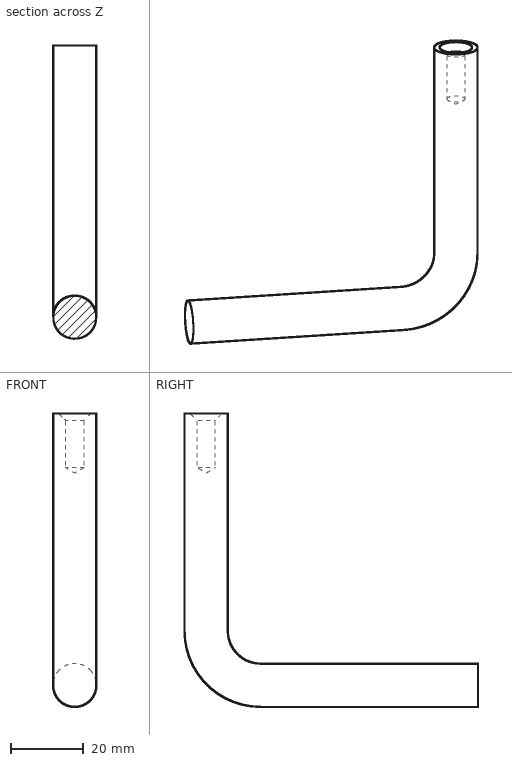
import cadquery as cq
import math

bar_diameter = 12.0
arm_length = 60.0
bend_radius = 15.0

hole_diameter = 5.0
hole_depth = 15.0
countersink_diameter = 9.0
countersink_angle = 90.0
drill_point_angle = 118.0

arm_end = bend_radius + arm_length


def cone_height(radius_change, included_angle):
    """Axial length over which a cone's radius changes by the given amount."""
    return radius_change / math.tan(math.radians(included_angle / 2))


def bent_bar():
    """Bar with one arm up +Z and one along +Y; the arm axes meet at the origin."""
    bend_mid = bend_radius * (1 - math.sqrt(0.5))
    path = (
        cq.Workplane("YZ")
        .moveTo(0, arm_end)
        .lineTo(0, bend_radius)
        .threePointArc((bend_mid, bend_mid), (bend_radius, 0))
        .lineTo(arm_end, 0)
    )
    profile = cq.Workplane("XY").workplane(offset=arm_end).circle(bar_diameter / 2)
    return profile.sweep(path)


def end_hole():
    """Countersunk blind hole with a conical drill point, going down from the upright end."""
    hole_radius = hole_diameter / 2
    countersink_radius = countersink_diameter / 2
    countersink_bottom = arm_end - cone_height(countersink_radius - hole_radius, countersink_angle)
    hole_bottom = arm_end - hole_depth
    drill_tip = hole_bottom - cone_height(hole_radius, drill_point_angle)
    return (
        cq.Workplane("XZ")
        .moveTo(0, arm_end)
        .lineTo(countersink_radius, arm_end)
        .lineTo(hole_radius, countersink_bottom)
        .lineTo(hole_radius, hole_bottom)
        .lineTo(0, drill_tip)
        .close()
        .revolve(360, (0, 0, 0), (0, 1, 0))
    )


result = bent_bar().cut(end_hole())